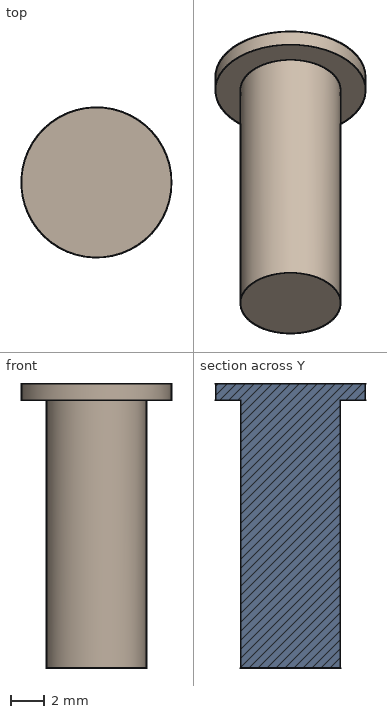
import cadquery as cq

total_height = 17.0
head_diameter = 9.0
head_thickness = 1.0
shank_diameter = 6.0
shank_length = total_height - head_thickness

shank = cq.Workplane("XY").circle(shank_diameter / 2).extrude(shank_length)

head = (
    cq.Workplane("XY")
    .workplane(offset=shank_length)
    .circle(head_diameter / 2)
    .extrude(head_thickness)
)

result = shank.union(head)